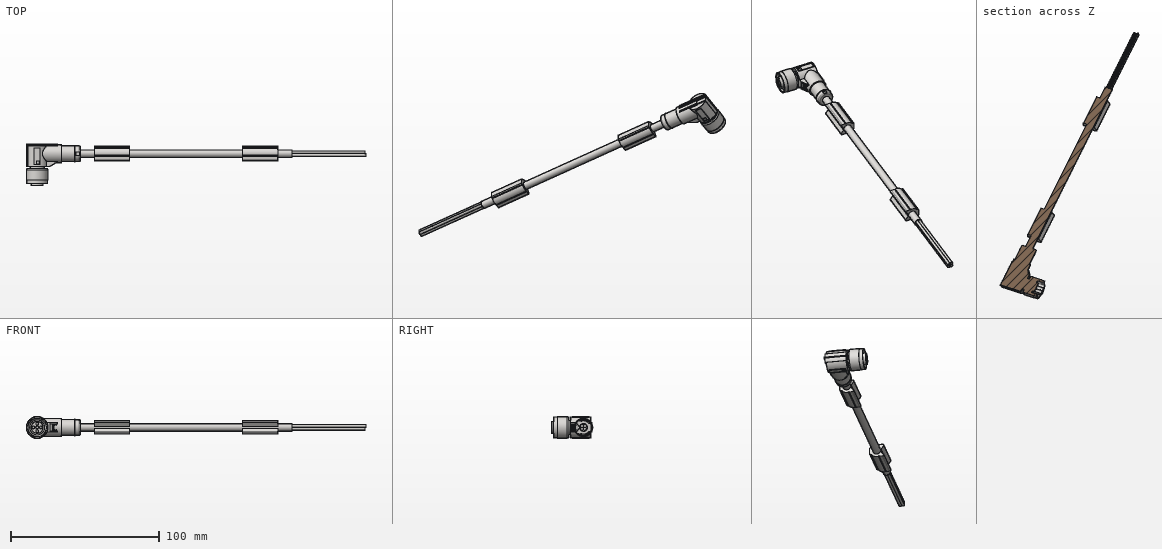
import cadquery as cq
import math


length = 229.2
plug_front = -21.5
keel_back = 6.5

nut_radius = 7.3
head_x = nut_radius
head_radius = 7.0
head_front = -8.7
head_back = 5.0
neck_radius = 4.8
nut_back = -9.9
nut_shoulder = -11.0
nut_groove = -17.7
nut_front = -20.2
nut_end_radius = 7.0
nut_back_radius = 6.9
mouth_radius = 6.2
bore_radius = 5.0
bore_depth = 4.5
insert_radius = 4.01
contact_radius = 1.0
contact_circle = 2.5
contact_depth = 4.5
contact_count = 4

panel_width = 4.1
panel_front = -7.3
panel_back = 4.0
panel_depth = 1.0
mark_size = 2.0
mark_depth = 0.35
mark_margin = 0.5

pad_half_width = 3.2
pad_back = 5.7
pad_radius = 0.5 * (head_radius + nut_radius)
keel_width = 0.7
rib_end = 21.0
gusset_end = rib_end
gusset_end_y = -5.5
gusset_corner = 15.8
gusset_wall = 1.0
gusset_recess = 0.7
gusset_bar = 1.0

arm_radius = 6.2
arm_end = 23.5
collar_radius = 5.39
collar_end = 36.5
collar_seam = 32.8
seam_size = 0.2
collar_round = 1.0
latch_size = 2.3
latch_depth = 0.57
cable_radius = 2.64
cable_end = 179.3

wire_radius = 1.03
wire_offset = 0.96
wire_end = 228.5

sleeve_length = 23.8
sleeve_starts = (45.8, 145.8)
sleeve_radius = 4.5
spine_back = 5.0
spine_half = 2.8
spine_chamfer = 0.7
valley_y = -1.4
valley_depth = 0.5
valley_half_width = 0.35
jaw_tip_y = -4.8
jaw_tip_z = 3.2
jaw_shoulder_y = -4.0
jaw_shoulder_z = 4.4
jaw_bulge = 0.2
throat_y = -3.0
throat_half = 0.7


def box(x_range, y_range, z_range):
    """Box between two limits along each axis."""
    size = [high - low for low, high in (x_range, y_range, z_range)]
    corner = (x_range[0], y_range[0], z_range[0])
    return cq.Workplane("XY").box(*size, centered=False).translate(corner)


def rod(radius, start, end, y=0.0, z=0.0):
    """Round rod parallel to X."""
    return cq.Workplane("YZ", origin=(start, y, z)).circle(radius).extrude(end - start)


def make_head():
    """Head, neck and coupling nut turned around the plug axis, with the bore left open."""
    bore_floor = nut_front + bore_depth
    chamfer = mouth_radius - bore_radius
    profile = [
        (0, head_back),
        (head_radius, head_back),
        (head_radius, head_front),
        (neck_radius, head_front),
        (neck_radius, nut_back),
        (nut_back_radius, nut_back),
        (nut_radius, nut_shoulder),
        (nut_radius, nut_groove),
        (nut_end_radius, nut_groove),
        (nut_end_radius, nut_front),
        (mouth_radius, nut_front),
        (bore_radius, nut_front + chamfer),
        (bore_radius, bore_floor),
        (insert_radius, bore_floor),
        (insert_radius, plug_front),
        (0, plug_front),
    ]
    turned = cq.Workplane("XY").polyline(profile).close().revolve(360, (0, 0), (0, 1))
    return turned.translate((head_x, 0, 0))


def cut_contacts(body):
    """Contact holes: one in the centre and the rest on a circle."""
    plane = cq.Workplane("XZ", origin=(head_x, plug_front, 0))
    outer = plane.polarArray(contact_circle, 0, 360, contact_count).circle(contact_radius)
    body = body.cut(outer.extrude(-contact_depth))
    return body.cut(plane.circle(contact_radius).extrude(-contact_depth))


def make_panel():
    """Raised flat panel on the upper side of the head, with a small recessed mark."""
    left = head_x - panel_width / 2
    right = head_x + panel_width / 2
    top = nut_radius
    panel = box((left, right), (panel_front, panel_back), (top - panel_depth, top))
    mark_right = right - mark_margin
    mark_front = panel_front + mark_margin
    mark = box(
        (mark_right - mark_size, mark_right),
        (mark_front, mark_front + mark_size),
        (top - mark_depth, top),
    )
    return panel.cut(mark)


def make_back_rib():
    """Wide pad over the left side and back of the head, with a narrow keel on its middle."""
    pad = box((0, rib_end), (head_front, pad_back), (-pad_half_width, pad_half_width))
    pad_depth = pad_back - head_front
    rounded = cq.Workplane("XZ", origin=(head_x, head_front, 0)).circle(pad_radius).extrude(-pad_depth)
    right_part = box((head_x, rib_end), (head_front, pad_back), (-pad_half_width, pad_half_width))
    pad = pad.intersect(rounded.union(right_part))
    keel = box((0, rib_end), (head_front, keel_back), (-keel_width / 2, keel_width / 2))
    pad_and_keel = pad.union(keel)
    spare = box((head_x, rib_end), (head_front, 0), (-pad_half_width, pad_half_width))
    return pad_and_keel.cut(spare)


def make_gusset():
    """Sloping web between head and arm, with a recess crossed by a bar."""
    outline = [
        (head_x, 0),
        (head_x, head_front),
        (gusset_corner, head_front),
        (gusset_end, gusset_end_y),
        (gusset_end, 0),
    ]
    plane = cq.Workplane("XY", origin=(0, 0, -pad_half_width))
    web = plane.polyline(outline).close().extrude(2 * pad_half_width)

    slope = math.atan2(gusset_end_y - head_front, gusset_end - gusset_corner)
    inward = (-gusset_recess * math.sin(slope), gusset_recess * math.cos(slope), 0)
    window_half = pad_half_width - gusset_wall
    window = box(
        (gusset_corner, gusset_end - gusset_wall),
        (head_front, 0),
        (-window_half, window_half),
    )
    window_middle = (gusset_corner + gusset_end - gusset_wall) / 2
    bar = box(
        (window_middle - gusset_bar / 2, window_middle + gusset_bar / 2),
        (head_front, 0),
        (-window_half, window_half),
    )
    skin = web.cut(web.translate(inward))
    return web.cut(skin.intersect(window.cut(bar)))


def make_collar():
    """Strain-relief collar with a rounded end, a thin seam ring and a latch recess on top."""
    collar = rod(collar_radius, head_x, collar_end).faces(">X").edges().fillet(collar_round)
    seam = rod(collar_radius + seam_size, collar_seam - seam_size, collar_seam)
    middle = (collar_seam + collar_end) / 2
    latch = box(
        (middle - latch_size / 2, middle + latch_size / 2),
        (-latch_size / 2, latch_size / 2),
        (collar_radius - latch_depth, collar_radius),
    )
    return collar.union(seam).cut(latch)


def make_sleeve(start):
    """Clip-on marker sleeve: round back with a spine, and two jaws flaring from a slit at -Y."""
    plane = cq.Workplane("YZ", origin=(start, 0, 0))
    spine_root = math.sqrt(sleeve_radius**2 - spine_half**2)
    valley_z = math.sqrt(sleeve_radius**2 - (valley_y + valley_half_width) ** 2)
    arc_y = math.sqrt(2) / 2 * sleeve_radius
    jaw_arc = (jaw_tip_y + jaw_bulge, jaw_shoulder_z - jaw_bulge)
    half = (
        plane.moveTo(spine_back, 0)
        .lineTo(spine_back, spine_half - spine_chamfer)
        .lineTo(spine_back - spine_chamfer, spine_half)
        .lineTo(spine_root, spine_half)
        .threePointArc((arc_y, arc_y), (valley_y + valley_half_width, valley_z))
        .lineTo(valley_y, valley_z - valley_depth)
        .lineTo(valley_y - valley_half_width, valley_z)
        .lineTo(jaw_shoulder_y, jaw_shoulder_z)
        .threePointArc(jaw_arc, (jaw_tip_y, jaw_tip_z))
        .lineTo(throat_y, throat_half)
        .lineTo(0, throat_half)
        .lineTo(0, 0)
        .close()
        .extrude(sleeve_length)
    )
    return half.union(half.mirror("XY"))


def make_wires():
    """Four wires leaving the cable end; the front upper one is the longest."""
    bundle = rod(wire_radius, collar_end, length, -wire_offset, wire_offset)
    for y, z in ((1, 1), (1, -1), (-1, -1)):
        bundle = bundle.union(rod(wire_radius, collar_end, wire_end, y * wire_offset, z * wire_offset))
    return bundle


panel = make_panel()
result = (
    make_head()
    .union(rod(arm_radius, head_x, arm_end))
    .union(panel)
    .union(panel.mirror("XY"))
    .union(make_back_rib())
    .union(make_gusset())
    .union(make_collar())
    .union(rod(cable_radius, arm_end, cable_end))
    .union(make_wires())
)
for sleeve_start in sleeve_starts:
    result = result.union(make_sleeve(sleeve_start))
result = cut_contacts(result)